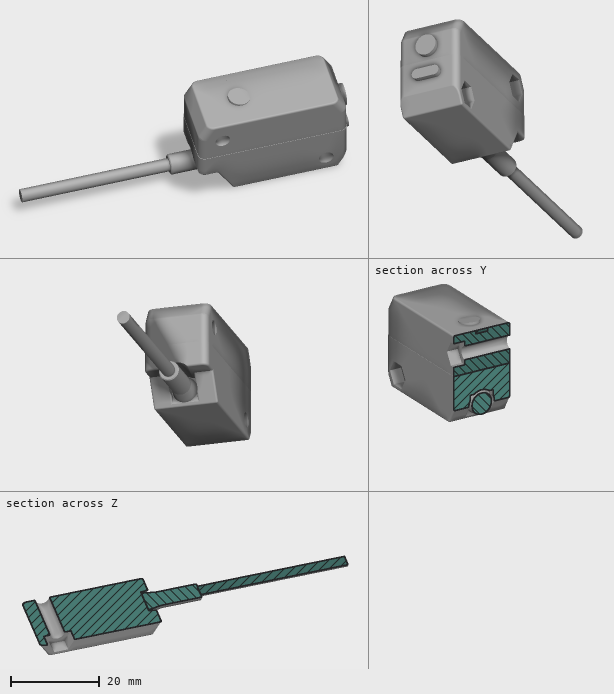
import cadquery as cq
import math


case_width = 15.05
case_length = 34.65
split_height = 12.0
case_height = 21.95
corner_radius = 1.6
edge_radius = 0.45
slope_angle = 30
slope_run_per_rise = math.tan(math.radians(slope_angle))

ledge_height = 6.35
back_slope_height = 4.1
base_front = -26.7

cover_inset = 0.1
cover_slope_height = 3.3
shoulder_radius = 0.8

bolt_diameter = 3.4
nut_flats = 5.7
nut_depth = 2.95
lower_hole = (-5.15, 3.8)
upper_hole = (-29.2, 17.1)

lens_diameter = 5.1
lens_height = 15.45
lens_protrusion = 1.1
bar_width = 6.7
bar_thickness = 2.4
bar_height = 8.4
bar_protrusion = 1.4

panel_width = 11.2
panel_back = -5.5
panel_thickness = 0.75
panel_corner_radius = 0.8
panel_arc_center = -23.4
button_diameter = 5.0
button_rise = 0.7

total_length = 75.7
cable_height = 3.7
cable_diameter = 3.0
cable_end = bar_protrusion - total_length
grommet_radius = 2.35
grommet_end = -39.8
grommet_chamfer = 0.2
flare_radius = 2.95
flare_end = -30.4

pocket_width = 5.9
pocket_wall = -27.1
clearance_inner_radius = 3.2
clearance_outer_radius = 3.85


def extrude_profile(points, width):
    """Closed outline of (Y, Z) points made into a prism centered on X = 0."""
    return cq.Workplane("YZ").polyline(points).close().extrude(width / 2, both=True)


def cylinder_along_y(radius, start, end):
    """Cylinder on the cable axis between two Y positions."""
    plane = cq.Workplane("XZ", origin=(0, start, cable_height))
    return plane.circle(radius).extrude(start - end)


def cone_along_y(start_radius, start, end_radius, end):
    """Solid cone frustum on the cable axis between two Y positions."""
    outline = [
        (0, start),
        (start_radius, start),
        (end_radius, end),
        (0, end),
    ]
    profile = cq.Workplane("XY", origin=(0, 0, cable_height)).polyline(outline).close()
    return profile.revolve(360, (0, 0, 0), (0, 1, 0))


def mounting_hole(center):
    """Bolt hole through the full width, with a nut recess that opens on the -X side."""
    side = cq.Workplane("YZ", origin=(-case_width / 2, 0, 0)).center(*center)
    bolt = side.circle(bolt_diameter / 2).extrude(case_width)
    nut_corners = nut_flats / math.cos(math.pi / 6)
    nut = side.polygon(6, nut_corners).extrude(nut_depth)
    return bolt.union(nut)


def edges_inside(body, low_corner, high_corner):
    """Edges of a body whose centers lie in the box between two corners."""
    return body.edges(cq.selectors.BoxSelector(low_corner, high_corner))


def round_underside(body, overhang_root):
    """Round the outer edges of the base, both slopes and the overhang, but not the overhang's inner corner."""
    def is_inner_corner(edge):
        center = edge.Center()
        return math.hypot(center.y - overhang_root, center.z - ledge_height) < edge_radius / 2

    lower_edges = body.faces("not (#Z or >Z)").edges("not >Z").vals()
    outer_edges = [edge for edge in lower_edges if not is_inner_corner(edge)]
    return body.newObject(outer_edges).fillet(edge_radius)


def cut_grommet_recess(body):
    """Round-edged pocket in the cable-side slope, opened out by a cone around the grommet."""
    half = pocket_width / 2
    pocket_length = case_length + pocket_wall
    pocket = cq.Workplane("XY").box(pocket_width, pocket_length, ledge_height, centered=(True, False, False))
    body = body.cut(pocket.translate((0, -case_length, 0)))
    low_corner = (-half - edge_radius / 2, -case_length, edge_radius)
    high_corner = (half + edge_radius / 2, pocket_wall - edge_radius, ledge_height - edge_radius)
    pocket_rim = edges_inside(body, low_corner, high_corner)
    body = pocket_rim.fillet(edge_radius)
    cone = cone_along_y(clearance_inner_radius, pocket_wall, clearance_outer_radius, -case_length)
    return body.cut(cone)


def receiver_bar():
    """Round-ended bar standing out from the optical face."""
    face = cq.Workplane("XZ", origin=(0, 0, bar_height))
    return face.slot2D(bar_width, bar_thickness).extrude(-bar_protrusion)


def make_housing():
    """Lower half of the case, slanted at both ends and undercut above the cable."""
    overhang_root = base_front - ledge_height * slope_run_per_rise
    base_back = -back_slope_height * slope_run_per_rise
    side_outline = [
        (0, split_height),
        (0, back_slope_height),
        (base_back, 0),
        (base_front, 0),
        (overhang_root, ledge_height),
        (-case_length, ledge_height),
        (-case_length, split_height),
    ]
    plan = cq.Workplane("XY").box(case_width, case_length, split_height, centered=(True, False, False))
    plan = plan.translate((0, -case_length, 0)).edges("|Z").fillet(corner_radius)
    body = extrude_profile(side_outline, case_width).intersect(plan)
    body = round_underside(body, overhang_root)
    body = cut_grommet_recess(body)
    return body.cut(mounting_hole(lower_hole)).union(receiver_bar())


def panel_blank():
    """Panel outline, square at the back and half round at the cable end, as a flush plate."""
    half = panel_width / 2
    outline = (
        cq.Workplane("XY", origin=(0, 0, case_height - panel_thickness))
        .moveTo(-half, panel_arc_center)
        .lineTo(-half, panel_back)
        .lineTo(half, panel_back)
        .lineTo(half, panel_arc_center)
        .threePointArc((0, panel_arc_center - half), (-half, panel_arc_center))
        .close()
    )
    return outline.extrude(panel_thickness).edges("|Z and >Y").fillet(panel_corner_radius)


def make_cover():
    """Upper half of the case, slanted at both ends, with the lens on its optical face."""
    back = -cover_inset
    front = cover_inset - case_length
    run = cover_slope_height * slope_run_per_rise
    shoulder = case_height - cover_slope_height
    side_outline = [
        (back, split_height),
        (back, shoulder),
        (back - run, case_height),
        (front + run, case_height),
        (front, shoulder),
        (front, split_height),
    ]
    body = extrude_profile(side_outline, case_width - 2 * cover_inset)
    body = body.edges("|X").edges("not (>Z or <Z)").fillet(shoulder_radius)
    upright_and_sloped = "(<X or >X) and (not |Y)"
    body = body.edges(upright_and_sloped).fillet(corner_radius)
    body = body.faces(">Z").edges().fillet(edge_radius)
    lens = cq.Workplane("XZ", origin=(0, back, lens_height)).circle(lens_diameter / 2)
    lens = lens.extrude(back - lens_protrusion)
    return body.cut(panel_blank()).cut(mounting_hole(upper_hole)).union(lens)


def make_panel():
    """Panel with a button whose top leans up towards the cable end."""
    tilt = math.degrees(math.atan(button_rise / button_diameter))
    button = cq.Workplane("XY").circle(button_diameter / 2).extrude(-panel_thickness)
    button = button.rotate((0, 0, 0), (1, 0, 0), -tilt)
    button = button.translate((0, panel_arc_center, case_height + button_rise / 2))
    return panel_blank().union(button)


def make_grommet():
    """Tube that flares out to the back wall of the recess."""
    flare = cone_along_y(flare_radius, pocket_wall, grommet_radius, flare_end)
    tube = cylinder_along_y(grommet_radius, flare_end, grommet_end).faces("<Y").chamfer(grommet_chamfer)
    return flare.union(tube)


def make_cable():
    return cylinder_along_y(cable_diameter / 2, grommet_end, cable_end)


housing = make_housing()
cover = make_cover()
panel = make_panel()
grommet = make_grommet()
cable = make_cable()

result = cq.Compound.makeCompound([
    housing.val(),
    cover.val(),
    panel.val(),
    grommet.val(),
    cable.val(),
])